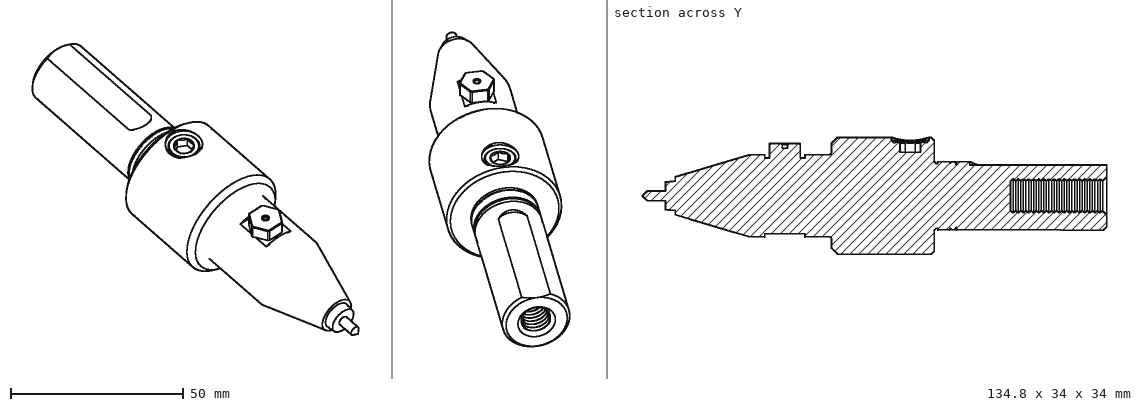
import cadquery as cq
import math


SHANK_R = 10.0
SHANK_CHAMFER = 1.0
SHANK_END = 49.1
SHANK_FLAT_Z = 9.0
SHANK_FLAT_END = 39.8
FLAT_CUTTER_R = 5.0

RING_X = 44.6
RING_SECTION_R = 1.0

RELIEF_R = 9.5
RELIEF_BEVEL = 0.5

BODY_R = 17.0
BODY_START = 50.0
BODY_END = 80.0
BODY_BACK_CHAMFER = 1.0
BODY_FRONT_CHAMFER = 1.8

BARREL_R = 12.0
BARREL_FILLET = 0.5
CONE_START = 103.5
CONE_END = 125.3
CONE_END_R = 5.5
NOSE_R = 4.3
NOSE_END_R = 4.0
NOSE_END = 128.1
PIN_R = 1.5
TIP_X = 134.8

BORE_MOUTH_R = 5.5
BORE_R = 4.3
THREAD_DEPTH = 0.5
THREAD_PITCH = 1.5
THREAD_TURNS = 18

SCREW_X = 57.0
SCREW_MOUTH_R = 5.4
SCREW_R = 4.6
SCREW_BEVEL = 0.3
SCREW_FACE_Z = 15.6
SOCKET_MOUTH_R = 3.0
SOCKET_FLATS = 5.1
SOCKET_DEPTH = 3.0

HEAD_X = 93.5
BARREL_FLAT_LENGTH = 11.6
BARREL_FLAT_Z = 11.0
HEAD_FLATS = 9.0
HEAD_CORNER_D = 10.1
HEAD_CHAMFER = 0.2
HEAD_TOP_Z = 15.2
HEAD_ROOT_DEPTH = 1.3
HEAD_HOLE_D = 1.5
HEAD_HOLE_MOUTH_D = 2.2
HEAD_HOLE_CSK_ANGLE = 90
HEAD_HOLE_DEPTH = 1.3


def turned_body():
    """Revolve the outer profile of the tool about X."""
    ring_center_r = SHANK_R - RING_SECTION_R
    ring_start = RING_X - RING_SECTION_R
    ring_end = RING_X + RING_SECTION_R
    barrel_arc_offset = BARREL_FILLET * math.sqrt(0.5)
    barrel_start = BODY_END + BARREL_FILLET
    profile = (
        cq.Workplane("XZ")
        .moveTo(0, 0)
        .lineTo(0, SHANK_R - SHANK_CHAMFER)
        .lineTo(SHANK_CHAMFER, SHANK_R)
        .lineTo(ring_start, SHANK_R)
        .lineTo(ring_start, ring_center_r)
        .threePointArc((RING_X, SHANK_R), (ring_end, ring_center_r))
        .lineTo(ring_end, SHANK_R)
        .lineTo(SHANK_END, SHANK_R)
        .lineTo(SHANK_END, RELIEF_R)
        .lineTo(BODY_START - RELIEF_BEVEL, RELIEF_R)
        .lineTo(BODY_START, RELIEF_R + RELIEF_BEVEL)
        .lineTo(BODY_START, BODY_R - BODY_BACK_CHAMFER)
        .lineTo(BODY_START + BODY_BACK_CHAMFER, BODY_R)
        .lineTo(BODY_END - BODY_FRONT_CHAMFER, BODY_R)
        .lineTo(BODY_END, BODY_R - BODY_FRONT_CHAMFER)
        .lineTo(BODY_END, BARREL_R + BARREL_FILLET)
        .threePointArc(
            (barrel_start - barrel_arc_offset, BARREL_R + BARREL_FILLET - barrel_arc_offset),
            (barrel_start, BARREL_R),
        )
        .lineTo(CONE_START, BARREL_R)
        .lineTo(CONE_END, CONE_END_R)
        .lineTo(CONE_END, NOSE_R)
        .lineTo(NOSE_END, NOSE_END_R)
        .lineTo(NOSE_END, PIN_R)
        .lineTo(TIP_X - PIN_R, PIN_R)
        .lineTo(TIP_X, 0)
        .close()
    )
    return profile.revolve(360, (0, 0, 0), (1, 0, 0))


def shank_flat():
    """Clamping flat from the shank end, finishing in the round of its end mill."""
    arc_center_x = SHANK_FLAT_END - FLAT_CUTTER_R
    depth = SHANK_R - SHANK_FLAT_Z
    run = cq.Workplane("XY").box(arc_center_x, 2 * FLAT_CUTTER_R, depth, centered=(False, True, False))
    rounded_end = cq.Workplane("XY").center(arc_center_x, 0).circle(FLAT_CUTTER_R).extrude(depth)
    return run.union(rounded_end).translate((0, 0, SHANK_FLAT_Z))


def shank_bore():
    """Countersunk blind bore whose thread is a row of V-shaped ring grooves."""
    thread_start = BORE_MOUTH_R - BORE_R
    profile = cq.Workplane("XZ").moveTo(0, 0).lineTo(0, BORE_MOUTH_R).lineTo(thread_start, BORE_R)
    for turn in range(THREAD_TURNS):
        groove_start = thread_start + turn * THREAD_PITCH
        profile = profile.lineTo(groove_start + THREAD_PITCH / 2, BORE_R + THREAD_DEPTH)
        profile = profile.lineTo(groove_start + THREAD_PITCH, BORE_R)
    bore_end = thread_start + THREAD_TURNS * THREAD_PITCH
    return profile.lineTo(bore_end, 0).close().revolve(360, (0, 0, 0), (1, 0, 0))


def set_screw_recess():
    """Countersunk mouth around the bevelled screw face, with a hex socket in the face."""
    mouth_z = math.sqrt(BODY_R**2 - SCREW_MOUTH_R**2)
    socket_corners = SOCKET_FLATS / math.cos(math.pi / 6)
    socket_bevel = SOCKET_MOUTH_R - SOCKET_FLATS / 2
    hole = (
        cq.Workplane("XZ")
        .moveTo(0, SCREW_FACE_Z - socket_bevel)
        .lineTo(SOCKET_FLATS / 2, SCREW_FACE_Z - socket_bevel)
        .lineTo(SOCKET_MOUTH_R, SCREW_FACE_Z)
        .lineTo(SCREW_R - SCREW_BEVEL, SCREW_FACE_Z)
        .lineTo(SCREW_R, SCREW_FACE_Z - SCREW_BEVEL)
        .lineTo(SCREW_MOUTH_R, mouth_z)
        .lineTo(SCREW_MOUTH_R, BODY_R)
        .lineTo(0, BODY_R)
        .close()
        .revolve(360, (0, 0, 0), (0, 1, 0))
    )
    socket = (
        cq.Workplane("XY")
        .workplane(offset=SCREW_FACE_Z - SOCKET_DEPTH)
        .polygon(6, socket_corners)
        .extrude(SOCKET_DEPTH)
    )
    return hole.union(socket).translate((SCREW_X, 0, 0))


def barrel_flats():
    """Matching cuts across the top and bottom of the barrel."""
    depth = BARREL_R - BARREL_FLAT_Z
    cutter = cq.Workplane("XY").box(BARREL_FLAT_LENGTH, 2 * BARREL_R, depth)
    middle_z = BARREL_FLAT_Z + depth / 2
    upper = cutter.translate((HEAD_X, 0, middle_z))
    lower = cutter.translate((HEAD_X, 0, -middle_z))
    return upper.union(lower)


def hex_head():
    """Hex head with rounded corners and a small hole in its top."""
    root_z = BARREL_FLAT_Z - HEAD_ROOT_DEPTH
    height = HEAD_TOP_Z - root_z
    base = cq.Workplane("XY", origin=(HEAD_X, 0, root_z))
    hexagon = base.polygon(6, HEAD_FLATS / math.cos(math.pi / 6)).extrude(height)
    hexagon = hexagon.rotate((HEAD_X, 0, 0), (HEAD_X, 0, 1), 30)
    head = hexagon.intersect(base.circle(HEAD_CORNER_D / 2).extrude(height))
    head = head.faces(">Z").chamfer(HEAD_CHAMFER)
    top = head.faces(">Z").workplane(origin=(HEAD_X, 0))
    return top.cskHole(HEAD_HOLE_D, HEAD_HOLE_MOUTH_D, HEAD_HOLE_CSK_ANGLE, HEAD_HOLE_DEPTH)


result = (
    turned_body()
    .cut(shank_flat())
    .cut(shank_bore())
    .cut(set_screw_recess())
    .cut(barrel_flats())
    .union(hex_head())
)